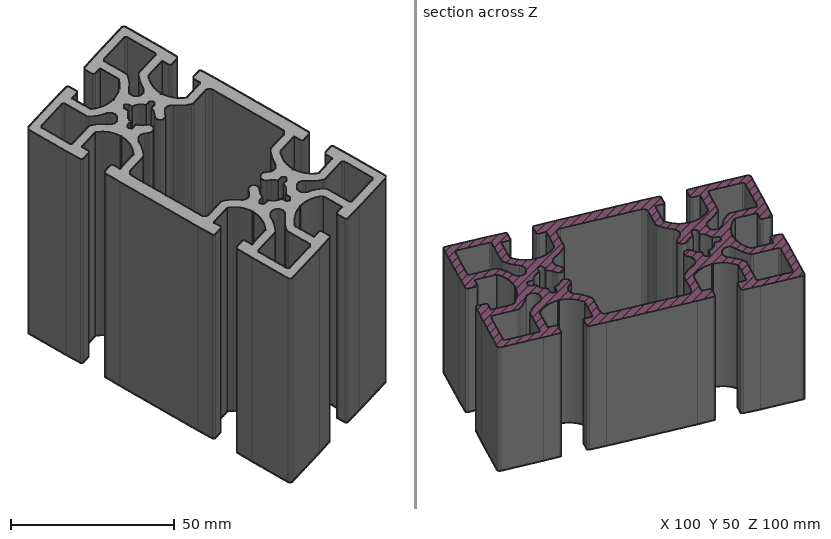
import cadquery as cq
import math

MODULE = 50.0
HALF_MODULE = MODULE / 2
WIDTH = 2 * MODULE
DEPTH = MODULE
LENGTH = 100.0

SLOT_HALF_OPENING = 4.1
SLOT_HALF_WIDTH = 7.25
LIP_THICKNESS = 4.15
LIP_INNER = HALF_MODULE - LIP_THICKNESS
SLOT_SIDE_END = 13.7
SLOT_FLOOR = 10.4

GROOVE_HALF_WIDTH = 0.25
GROOVE_DEPTH = 0.25
GROOVE_OVERLAP = 0.5

SLOT_FLOOR_RISE = SLOT_SIDE_END - SLOT_FLOOR
SLOT_FLOOR_RADIUS = (SLOT_HALF_WIDTH**2 + SLOT_FLOOR_RISE**2) / (2 * SLOT_FLOOR_RISE)
SLOT_ARC_CENTRE = SLOT_FLOOR + SLOT_FLOOR_RADIUS

OUTER_WALL = 3.0
SLOT_WALL = 3.0
FLOOR_WALL = 2.9
CAVITY_INNER = SLOT_HALF_WIDTH + SLOT_WALL
CAVITY_OUTER = HALF_MODULE - OUTER_WALL
KEYHOLE_CENTRE = 6.85

TAPER_START = CAVITY_INNER
TAPER_DROP = 0.12

CORE_RADIUS = 4.1
KEYWAY_HALF_WIDTH = 1.0
KEYWAY_REACH = 6.4
ARM_TIP_OFFSET = 1.5

CORNER_RADIUS = 1.0
LIP_RADIUS = 0.7
CAVITY_CORNER_RADIUS = 0.6
CHANNEL_MOUTH_RADIUS = 1.3
CHAMBER_CORNER_RADIUS = 1.5

EDGE_REACH = 0.2

DIAGONAL = math.sqrt(0.5)

WALL_ARC_RADIUS = SLOT_FLOOR_RADIUS + FLOOR_WALL
KEYHOLE_DISTANCE = math.hypot(KEYHOLE_CENTRE, SLOT_ARC_CENTRE - KEYHOLE_CENTRE)
KEYHOLE_RADIUS = KEYHOLE_DISTANCE - WALL_ARC_RADIUS


def wall_arc_point(u):
    """Point on the back of the slot wall at the distance u from the slot middle."""
    return (u, SLOT_ARC_CENTRE - math.sqrt(WALL_ARC_RADIUS**2 - u**2))


CHANNEL_END_U = KEYHOLE_CENTRE * WALL_ARC_RADIUS / KEYHOLE_DISTANCE
CHANNEL_MOUTH = wall_arc_point(CAVITY_INNER)
CHANNEL_MIDDLE = wall_arc_point((CAVITY_INNER + CHANNEL_END_U) / 2)
CHANNEL_END = wall_arc_point(CHANNEL_END_U)

KEYHOLE_TIP = KEYHOLE_CENTRE - KEYHOLE_RADIUS * DIAGONAL


def swapped(point):
    """Mirror a point in the 45 degree diagonal of its module."""
    return (point[1], point[0])


def round_edge(solid, point, radius):
    """Round the vertical edge that passes through the given XY point."""
    x, y = point
    picker = cq.selectors.BoxSelector(
        (x - EDGE_REACH, y - EDGE_REACH, 0),
        (x + EDGE_REACH, y + EDGE_REACH, LENGTH),
    )
    return solid.edges("|Z").edges(picker).fillet(radius)


def floor_groove():
    """V-groove along the middle of a slot floor, extended up into the slot."""
    slope = GROOVE_HALF_WIDTH / GROOVE_DEPTH
    top_half_width = GROOVE_HALF_WIDTH + GROOVE_OVERLAP * slope
    top = SLOT_FLOOR + GROOVE_OVERLAP
    return (
        cq.Workplane("XY")
        .moveTo(0, SLOT_FLOOR - GROOVE_DEPTH)
        .lineTo(top_half_width, top)
        .lineTo(-top_half_width, top)
        .close()
        .extrude(LENGTH)
    )


def slot_cutter():
    """T-slot opening towards +Y, with the outer face tapering down to its lips."""
    lip_face = HALF_MODULE - TAPER_DROP
    cutter = (
        cq.Workplane("XY")
        .moveTo(-SLOT_HALF_WIDTH, SLOT_SIDE_END)
        .threePointArc((0, SLOT_FLOOR), (SLOT_HALF_WIDTH, SLOT_SIDE_END))
        .lineTo(SLOT_HALF_WIDTH, LIP_INNER)
        .lineTo(SLOT_HALF_OPENING, LIP_INNER)
        .lineTo(SLOT_HALF_OPENING, lip_face)
        .lineTo(TAPER_START, HALF_MODULE)
        .lineTo(-TAPER_START, HALF_MODULE)
        .lineTo(-SLOT_HALF_OPENING, lip_face)
        .lineTo(-SLOT_HALF_OPENING, LIP_INNER)
        .lineTo(-SLOT_HALF_WIDTH, LIP_INNER)
        .close()
        .extrude(LENGTH)
    )
    for side in (-1, 1):
        for height in (LIP_INNER, lip_face):
            cutter = round_edge(cutter, (side * SLOT_HALF_OPENING, height), LIP_RADIUS)
    return cutter.union(floor_groove())


def corner_cavity():
    """Square corner cavity in the +X +Y quadrant with its diagonal keyhole channel."""
    cavity = (
        cq.Workplane("XY")
        .moveTo(CAVITY_OUTER, CAVITY_OUTER)
        .lineTo(CAVITY_INNER, CAVITY_OUTER)
        .lineTo(*CHANNEL_MOUTH)
        .threePointArc(CHANNEL_MIDDLE, CHANNEL_END)
        .threePointArc((KEYHOLE_TIP, KEYHOLE_TIP), swapped(CHANNEL_END))
        .threePointArc(swapped(CHANNEL_MIDDLE), swapped(CHANNEL_MOUTH))
        .lineTo(CAVITY_OUTER, CAVITY_INNER)
        .close()
        .extrude(LENGTH)
    )
    inner_corner = (CAVITY_INNER, CAVITY_OUTER)
    for corner in ((CAVITY_OUTER, CAVITY_OUTER), inner_corner, swapped(inner_corner)):
        cavity = round_edge(cavity, corner, CAVITY_CORNER_RADIUS)
    for mouth in (CHANNEL_MOUTH, swapped(CHANNEL_MOUTH)):
        cavity = round_edge(cavity, mouth, CHANNEL_MOUTH_RADIUS)
    return cavity


def core_cutter():
    """Core bore with keyways towards the three slots (+Y, -Y and +X)."""
    cutter = cq.Workplane("XY").circle(CORE_RADIUS).extrude(LENGTH)
    keyway = (
        cq.Workplane("XY")
        .moveTo(-KEYWAY_HALF_WIDTH, 0)
        .lineTo(KEYWAY_HALF_WIDTH, 0)
        .lineTo(KEYWAY_HALF_WIDTH, KEYWAY_REACH - KEYWAY_HALF_WIDTH)
        .threePointArc(
            (0, KEYWAY_REACH),
            (-KEYWAY_HALF_WIDTH, KEYWAY_REACH - KEYWAY_HALF_WIDTH),
        )
        .close()
        .extrude(LENGTH)
    )
    for angle in (0, 180, -90):
        cutter = cutter.union(keyway.rotate((0, 0, 0), (0, 0, 1), angle))
    return cutter


def chamber_quarter():
    """Quarter of the central chamber, in the -X +Y quadrant of the right-hand module.

    The outline is given in (u, v), with u pointing from the module centre to the
    middle of the profile and v pointing to the outer face.
    """
    arm_inner = CORE_RADIUS
    arm_outer = KEYHOLE_TIP / DIAGONAL
    arm_radius = (arm_outer - arm_inner) / 2
    arm_middle = arm_inner + arm_radius
    tip_v = ARM_TIP_OFFSET + arm_radius
    tip_u = arm_middle / DIAGONAL - tip_v
    step = arm_radius * DIAGONAL
    core_tangent = CORE_RADIUS * DIAGONAL
    keyhole_side = (KEYHOLE_CENTRE - KEYHOLE_RADIUS, KEYHOLE_CENTRE)
    chamber = (
        cq.Workplane("XY")
        .moveTo(HALF_MODULE, 0)
        .lineTo(HALF_MODULE, LIP_INNER)
        .lineTo(CAVITY_INNER, LIP_INNER)
        .lineTo(*CHANNEL_MOUTH)
        .threePointArc(CHANNEL_MIDDLE, CHANNEL_END)
        .threePointArc(keyhole_side, (KEYHOLE_TIP, KEYHOLE_TIP))
        .lineTo(tip_u + step, tip_v + step)
        .threePointArc((tip_u + step, tip_v - step), (tip_u - step, tip_v - step))
        .lineTo(core_tangent, core_tangent)
        .lineTo(0, 0)
        .close()
        .extrude(LENGTH)
    )
    chamber = round_edge(chamber, (CAVITY_INNER, LIP_INNER), CHAMBER_CORNER_RADIUS)
    chamber = round_edge(chamber, CHANNEL_MOUTH, CHANNEL_MOUTH_RADIUS)
    return chamber.mirror("YZ")


def module_cutters():
    """Everything removed from the right-hand module, centred on the origin."""
    cutters = [core_cutter()]
    for angle in (0, 180, -90):
        cutters.append(slot_cutter().rotate((0, 0, 0), (0, 0, 1), angle))
    for upper_cutter in (corner_cavity(), chamber_quarter()):
        cutters.append(upper_cutter)
        cutters.append(upper_cutter.mirror("XZ"))
    return cutters


profile = (
    cq.Workplane("XY")
    .rect(WIDTH, DEPTH)
    .extrude(LENGTH)
    .edges("|Z")
    .fillet(CORNER_RADIUS)
)
for cutter in module_cutters():
    right_cutter = cutter.translate((HALF_MODULE, 0, 0))
    profile = profile.cut(right_cutter).cut(right_cutter.mirror("YZ"))

result = profile